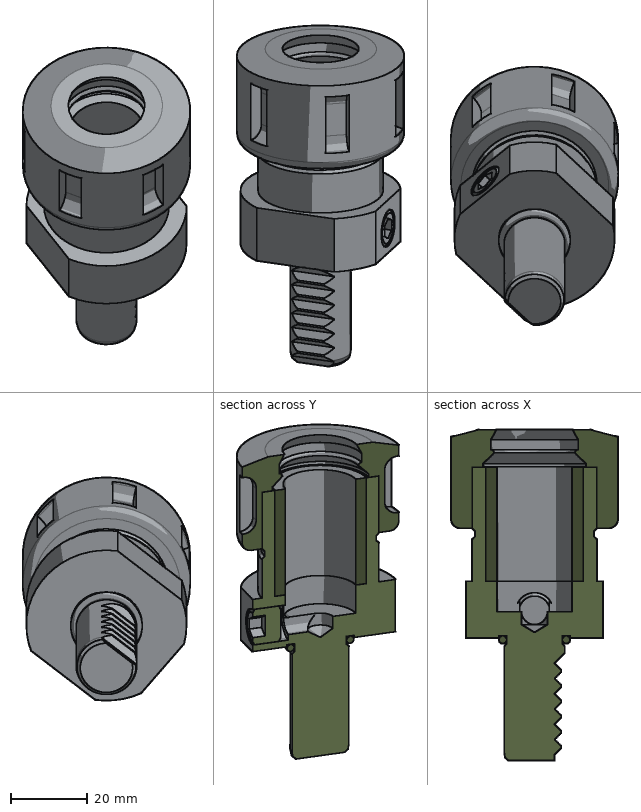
import cadquery as cq
import math

TOTAL_HEIGHT = 87.0
BLOCK_BOTTOM = 32.2
BLOCK_TOP = 47.15
BODY_TOP = 77.2
NUT_BOTTOM = 61.0

SHANK_RADIUS = 8.0
LEAD_IN_START = 2.1
LEAD_IN_END = 0.8
LEAD_IN_RADIUS = 7.7
SHANK_END_RADIUS = 6.9
SHANK_NECK_RADIUS = 7.3
SHANK_NECK_BOTTOM = 30.7

TOOTH_PITCH = 4.0
TOOTH_COUNT = 6
TOOTH_TIP_Y = 7.05
TOOTH_ROOT_Y = 5.3
TOP_ROOT_Z = 25.6

RING_TUBE_RADIUS = 1.05
RING_CENTRE_RADIUS = SHANK_NECK_RADIUS + RING_TUBE_RADIUS
RING_CENTRE_Z = 31.75

BLOCK_RADIUS = 21.05
FLAT_Y = 18.0
FLAT_X = 19.05

NECK_RADIUS = 16.4
UNDERCUT_RADIUS = 15.7
UNDERCUT_CHAMFER = NECK_RADIUS - UNDERCUT_RADIUS
UNDERCUT_BOTTOM = 58.1
UNDERCUT_TOP = NUT_BOTTOM

BORE_RADIUS = 9.8
SLEEVE_RADIUS = 12.8
SLEEVE_BOTTOM = BLOCK_TOP
SLEEVE_TOP = BODY_TOP

SCREW_Z = 39.15
BORE_FLOOR = SCREW_Z
PASSAGE_RADIUS = 3.4
DRILL_POINT_ANGLE = 118.0
SCREW_RADIUS = 5.0
SCREW_HOLE_END_X = -9.05
SCREW_LENGTH = 8.0
SCREW_CHAMFER_LENGTH = 0.5
SCREW_END_RADIUS = 4.1
SOCKET_FLATS = 5.0
SOCKET_DEPTH = 3.5

V_GROOVE_X = -8.0
V_GROOVE_HALF_WIDTH = 0.5
V_GROOVE_DEPTH = 0.14

NUT_RADIUS = 22.0
NUT_FACE_RADIUS = 14.6
NUT_CONE_HEIGHT = 1.9
NUT_FILLET = 2.6
MOUTH_RADIUS = 10.0
CHAMBER_RADIUS = 11.5
CHAMBER_TOP = 84.2
LIP_TOP = 81.7
LIP_RADIUS = 10.6
LIP_ROUND = CHAMBER_RADIUS - LIP_RADIUS
COUNTERBORE_RADIUS = 13.5
COUNTERBORE_TOP = 78.0

POCKET_COUNT = 6
POCKET_START_ANGLE = 3.3
POCKET_WIDTH = 6.35
POCKET_BOTTOM = 66.0
POCKET_TOP = 81.95
POCKET_FLOOR_RADIUS = 18.0
POCKET_FILLET = 3.5


def disc(radius, bottom, top):
    """Upright cylinder on the Z axis."""
    return cq.Workplane("XY").workplane(offset=bottom).circle(radius).extrude(top - bottom)


def cross_cylinder(radius, start_x, end_x):
    """Cylinder along X at the height of the set screw."""
    return (
        cq.Workplane("YZ", origin=(start_x, 0, SCREW_Z)).circle(radius).extrude(end_x - start_x)
    )


def make_shank():
    return (
        cq.Workplane("XZ")
        .moveTo(0, 0)
        .lineTo(SHANK_END_RADIUS, 0)
        .lineTo(LEAD_IN_RADIUS, LEAD_IN_END)
        .lineTo(SHANK_RADIUS, LEAD_IN_START)
        .lineTo(SHANK_RADIUS, SHANK_NECK_BOTTOM - (SHANK_RADIUS - SHANK_NECK_RADIUS))
        .lineTo(SHANK_NECK_RADIUS, SHANK_NECK_BOTTOM)
        .lineTo(SHANK_NECK_RADIUS, BLOCK_BOTTOM)
        .lineTo(0, BLOCK_BOTTOM)
        .close()
        .revolve(360, (0, 0, 0), (0, 1, 0))
    )


def make_rack_cutter():
    """Space between and outside the 45 degree teeth, full width of the shank."""
    outside_y = SHANK_RADIUS + 0.9
    tooth_depth = TOOTH_TIP_Y - TOOTH_ROOT_Y
    points = [
        (outside_y, TOP_ROOT_Z + outside_y - TOOTH_ROOT_Y),
        (TOOTH_ROOT_Y, TOP_ROOT_Z),
    ]
    for tooth in range(TOOTH_COUNT):
        upper_root = TOP_ROOT_Z - tooth * TOOTH_PITCH
        lower_root = upper_root - TOOTH_PITCH
        points += [
            (TOOTH_TIP_Y, upper_root - tooth_depth),
            (TOOTH_TIP_Y, lower_root + tooth_depth),
            (TOOTH_ROOT_Y, lower_root),
        ]
    points += [(TOOTH_ROOT_Y, 0), (outside_y, 0)]
    return cq.Workplane("YZ").polyline(points).close().extrude(SHANK_RADIUS, both=True)


def make_block():
    block = disc(BLOCK_RADIUS, BLOCK_BOTTOM, BLOCK_TOP)
    flats = cq.Workplane("XY").box(
        FLAT_X + BLOCK_RADIUS, 2 * FLAT_Y, BLOCK_TOP, centered=(False, True, False)
    )
    return block.intersect(flats.translate((-FLAT_X, 0, 0)))


def make_neck():
    return (
        cq.Workplane("XZ")
        .moveTo(0, BLOCK_TOP)
        .lineTo(NECK_RADIUS, BLOCK_TOP)
        .lineTo(NECK_RADIUS, UNDERCUT_BOTTOM)
        .lineTo(UNDERCUT_RADIUS, UNDERCUT_BOTTOM + UNDERCUT_CHAMFER)
        .lineTo(UNDERCUT_RADIUS, UNDERCUT_TOP - UNDERCUT_CHAMFER)
        .lineTo(NECK_RADIUS, UNDERCUT_TOP)
        .lineTo(NECK_RADIUS, BODY_TOP)
        .lineTo(0, BODY_TOP)
        .close()
        .revolve(360, (0, 0, 0), (0, 1, 0))
    )


def make_drill_point():
    """Conical pit where the cross passage ends below the bore centre."""
    cone_height = PASSAGE_RADIUS / math.tan(math.radians(DRILL_POINT_ANGLE / 2))
    cone_top = SCREW_Z - PASSAGE_RADIUS
    return (
        cq.Workplane("XZ")
        .moveTo(0, BORE_FLOOR)
        .lineTo(PASSAGE_RADIUS, BORE_FLOOR)
        .lineTo(PASSAGE_RADIUS, cone_top)
        .lineTo(0, cone_top - cone_height)
        .close()
        .revolve(360, (0, 0, 0), (0, 1, 0))
    )


def make_floor_groove():
    groove = (
        cq.Workplane("XZ")
        .moveTo(V_GROOVE_X - V_GROOVE_HALF_WIDTH, BORE_FLOOR)
        .lineTo(V_GROOVE_X, BORE_FLOOR - V_GROOVE_DEPTH)
        .lineTo(V_GROOVE_X + V_GROOVE_HALF_WIDTH, BORE_FLOOR)
        .close()
        .extrude(BORE_RADIUS, both=True)
    )
    return groove.intersect(disc(BORE_RADIUS, BORE_FLOOR - V_GROOVE_DEPTH, BORE_FLOOR))


def make_body():
    body = make_shank().cut(make_rack_cutter()).union(make_block()).union(make_neck())
    ring_recess = disc(
        RING_CENTRE_RADIUS + RING_TUBE_RADIUS, BLOCK_BOTTOM, RING_CENTRE_Z + RING_TUBE_RADIUS
    ).cut(disc(SHANK_NECK_RADIUS, BLOCK_BOTTOM, BLOCK_TOP))
    return (
        body.cut(ring_recess)
        .cut(disc(SLEEVE_RADIUS, SLEEVE_BOTTOM, BODY_TOP))
        .cut(disc(BORE_RADIUS, BORE_FLOOR, SLEEVE_BOTTOM))
        .cut(cross_cylinder(SCREW_RADIUS, -FLAT_X, SCREW_HOLE_END_X))
        .cut(cross_cylinder(PASSAGE_RADIUS, SCREW_HOLE_END_X, 0))
        .cut(make_drill_point())
        .cut(make_floor_groove())
    )


def make_o_ring():
    return (
        cq.Workplane("XZ")
        .center(RING_CENTRE_RADIUS, RING_CENTRE_Z)
        .circle(RING_TUBE_RADIUS)
        .revolve(360, (-RING_CENTRE_RADIUS, 0, 0), (-RING_CENTRE_RADIUS, 1, 0))
    )


def make_sleeve():
    return disc(SLEEVE_RADIUS, SLEEVE_BOTTOM, SLEEVE_TOP).cut(
        disc(BORE_RADIUS, SLEEVE_BOTTOM, SLEEVE_TOP)
    )


def make_set_screw():
    """Flush set screw, tapered at both ends, with a hexagon socket."""
    inner_end_x = -FLAT_X + SCREW_LENGTH
    screw = (
        cq.Workplane("XY")
        .moveTo(-FLAT_X, 0)
        .lineTo(-FLAT_X, SCREW_END_RADIUS)
        .lineTo(-FLAT_X + SCREW_CHAMFER_LENGTH, SCREW_RADIUS)
        .lineTo(inner_end_x - SCREW_CHAMFER_LENGTH, SCREW_RADIUS)
        .lineTo(inner_end_x, SCREW_END_RADIUS)
        .lineTo(inner_end_x, 0)
        .close()
        .revolve(360, (0, 0, 0), (1, 0, 0))
        .translate((0, 0, SCREW_Z))
    )
    socket_diameter = SOCKET_FLATS / math.cos(math.radians(30))
    socket = (
        cq.Workplane("YZ", origin=(-FLAT_X, 0, SCREW_Z))
        .transformed(rotate=(0, 0, 90))
        .polygon(6, socket_diameter)
        .extrude(SOCKET_DEPTH)
    )
    return screw.cut(socket)


def make_nut_shell():
    round_middle = LIP_ROUND * math.sqrt(0.5)
    round_centre_z = LIP_TOP - LIP_ROUND
    shell = (
        cq.Workplane("XZ")
        .moveTo(NECK_RADIUS, NUT_BOTTOM)
        .lineTo(NUT_RADIUS, NUT_BOTTOM)
        .lineTo(NUT_RADIUS, TOTAL_HEIGHT - NUT_CONE_HEIGHT)
        .lineTo(NUT_FACE_RADIUS, TOTAL_HEIGHT)
        .lineTo(MOUTH_RADIUS, TOTAL_HEIGHT)
        .lineTo(CHAMBER_RADIUS, CHAMBER_TOP)
        .lineTo(CHAMBER_RADIUS, LIP_TOP)
        .threePointArc(
            (CHAMBER_RADIUS - round_middle, round_centre_z + round_middle),
            (LIP_RADIUS, round_centre_z),
        )
        .lineTo(COUNTERBORE_RADIUS, COUNTERBORE_TOP)
        .lineTo(COUNTERBORE_RADIUS, BODY_TOP)
        .lineTo(NECK_RADIUS, BODY_TOP)
        .close()
        .revolve(360, (0, 0, 0), (0, 1, 0))
    )
    lower_rim = cq.selectors.RadiusNthSelector(-1)
    return shell.faces("<Z").edges(lower_rim).fillet(NUT_FILLET)


def make_pocket_cutter():
    """Wrench pocket on the +X side, its floor rounded into both ends."""
    pocket = cq.Workplane("XY").box(
        NUT_RADIUS - POCKET_FLOOR_RADIUS + 0.9,
        POCKET_WIDTH,
        POCKET_TOP - POCKET_BOTTOM,
        centered=(False, True, False),
    )
    pocket = pocket.faces("<X").edges("|Y").fillet(POCKET_FILLET)
    return pocket.translate((POCKET_FLOOR_RADIUS, 0, POCKET_BOTTOM))


def make_nut():
    nut = make_nut_shell()
    pocket = make_pocket_cutter()
    for index in range(POCKET_COUNT):
        angle = POCKET_START_ANGLE + index * 360 / POCKET_COUNT
        nut = nut.cut(pocket.rotate((0, 0, 0), (0, 0, 1), angle))
    return nut


body = make_body()
o_ring = make_o_ring()
sleeve = make_sleeve()
set_screw = make_set_screw()
nut = make_nut()

result = cq.Compound.makeCompound(
    [body.val(), o_ring.val(), sleeve.val(), set_screw.val(), nut.val()]
)